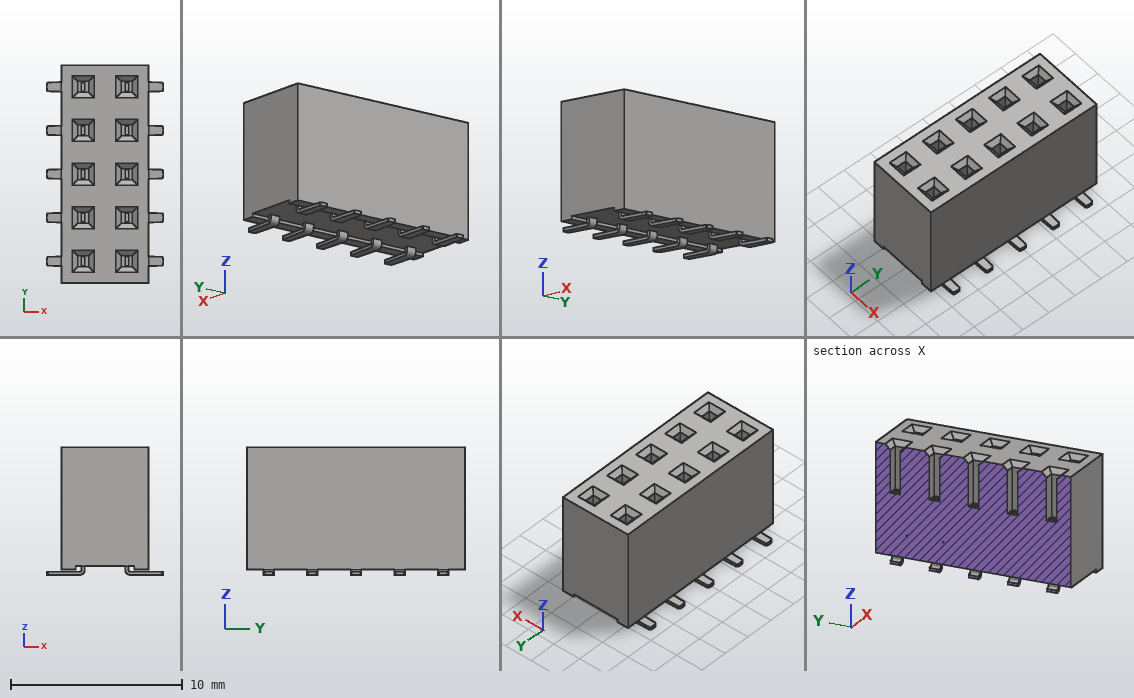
import cadquery as cq

rows = 5
pitch = 2.54
column_x = pitch / 2

body_width = 2 * pitch
body_length = rows * pitch
overall_height = 7.45
standoff = 0.32
body_height = overall_height - standoff
groove_width = 3.4
groove_depth = 0.2

opening_size = 1.28
hole_size = 0.64
funnel_depth = (opening_size - hole_size) / 2
hole_depth = 3.0
slot_width = 0.2
slot_floor_length = 0.5
slot_depth = (hole_size - slot_floor_length) / 2

overall_width = 6.8
lead_thickness = 0.2
lead_width = 0.64
bend_inner_radius = 0.1
bend_outer_radius = bend_inner_radius + lead_thickness
tip_width = 0.53
tip_corner_length = 0.06
tip_corner_inset = 0.03
tip_bulge = 0.03

row_positions = [(row - (rows - 1) / 2) * pitch for row in range(rows)]
hole_floor = overall_height - hole_depth
groove_top = standoff + groove_depth


def make_housing():
    """Rectangular block with a wide groove along its underside."""
    block = cq.Workplane("XY").workplane(offset=standoff).box(
        body_width, body_length, body_height, centered=(True, True, False)
    )
    groove = cq.Workplane("XY").workplane(offset=standoff).box(
        groove_width, body_length, groove_depth, centered=(True, True, False)
    )
    return block.cut(groove)


def make_opening():
    """Square hole with a tapered lead-in, centred on the Z axis."""
    hole = cq.Workplane("XY").workplane(offset=hole_floor).box(
        hole_size, hole_size, hole_depth, centered=(True, True, False)
    )
    funnel = (
        cq.Workplane("XY")
        .workplane(offset=overall_height - funnel_depth)
        .rect(hole_size, hole_size)
        .workplane(offset=funnel_depth)
        .rect(opening_size, opening_size)
        .loft(ruled=True)
    )
    return hole.union(funnel)


def make_slot():
    """Shallow contact slot in a hole floor; its two ends slope inward as it gets deeper."""
    return (
        cq.Workplane("XY")
        .workplane(offset=hole_floor - slot_depth)
        .rect(slot_width, slot_floor_length)
        .workplane(offset=slot_depth)
        .rect(slot_width, hole_size)
        .loft(ruled=True)
    )


def make_lead():
    """Right-hand lead: down out of the groove, bent outward, tapered to a rounded tip."""
    inner_x = column_x - lead_thickness / 2
    outer_x = column_x + lead_thickness / 2
    bend_x = inner_x + bend_outer_radius
    tip_x = overall_width / 2
    strip = (
        cq.Workplane("XZ")
        .moveTo(inner_x, groove_top)
        .lineTo(inner_x, bend_outer_radius)
        .radiusArc((bend_x, 0), -bend_outer_radius)
        .lineTo(tip_x, 0)
        .lineTo(tip_x, lead_thickness)
        .lineTo(bend_x, lead_thickness)
        .radiusArc((outer_x, bend_outer_radius), bend_inner_radius)
        .lineTo(outer_x, groove_top)
        .close()
        .extrude(lead_width / 2, both=True)
    )
    root_y = lead_width / 2
    shoulder_y = tip_width / 2
    corner_y = shoulder_y - tip_corner_inset
    corner_x = tip_x - tip_bulge
    shoulder_x = corner_x - tip_corner_length
    plan = (
        cq.Workplane("XY")
        .moveTo(inner_x, -root_y)
        .lineTo(bend_x, -root_y)
        .lineTo(shoulder_x, -shoulder_y)
        .lineTo(corner_x, -corner_y)
        .threePointArc((tip_x, 0), (corner_x, corner_y))
        .lineTo(shoulder_x, shoulder_y)
        .lineTo(bend_x, root_y)
        .lineTo(inner_x, root_y)
        .close()
        .extrude(groove_top)
    )
    return strip.intersect(plan)


result = make_housing()
opening = make_opening().union(make_slot())
right_lead = make_lead()
left_lead = right_lead.mirror("YZ")

for y in row_positions:
    for x, lead in ((-column_x, left_lead), (column_x, right_lead)):
        result = result.cut(opening.translate((x, y, 0)))
        result = result.union(lead.translate((0, y, 0)))